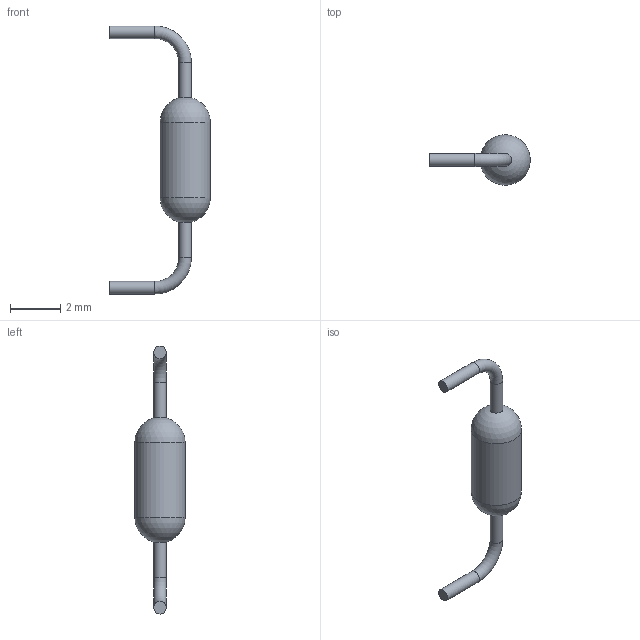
import cadquery as cq
import math

body_diameter = 2.0
body_length = 5.0
lead_diameter = 0.5
lead_pitch = 10.16
lead_reach = 3.0
bend_radius = 1.2

body_radius = body_diameter / 2
barrel_half_length = body_length / 2 - body_radius
lead_height = lead_pitch / 2


def make_body():
    """Cylinder with hemispherical ends, revolved from its half outline."""
    dome_offset = body_radius * math.sin(math.radians(45))
    half_outline = (
        cq.Workplane("XZ")
        .moveTo(0, -body_length / 2)
        .threePointArc(
            (dome_offset, -barrel_half_length - dome_offset),
            (body_radius, -barrel_half_length),
        )
        .lineTo(body_radius, barrel_half_length)
        .threePointArc(
            (dome_offset, barrel_half_length + dome_offset),
            (0, body_length / 2),
        )
        .close()
    )
    return half_outline.revolve(360, (0, 0, 0), (0, 1, 0))


def make_upper_lead():
    """Round wire rising from the body centre and bending to a tip at -X."""
    bend_offset = bend_radius * (1 - math.cos(math.radians(45)))
    path = (
        cq.Workplane("XZ")
        .lineTo(0, lead_height - bend_radius)
        .threePointArc(
            (-bend_offset, lead_height - bend_offset),
            (-bend_radius, lead_height),
        )
        .lineTo(-lead_reach, lead_height)
    )
    return cq.Workplane("XY").circle(lead_diameter / 2).sweep(path)


upper_lead = make_upper_lead()
lower_lead = upper_lead.mirror("XY")

result = make_body().union(upper_lead).union(lower_lead)